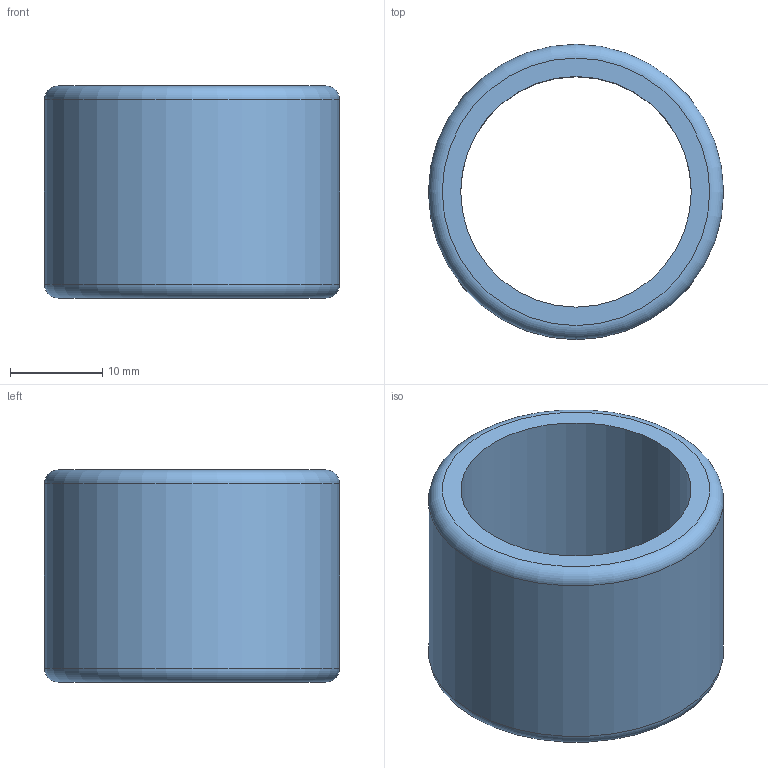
import cadquery as cq

outer_diameter = 32.0
bore_diameter = 25.0
height = 23.0
rim_radius = 1.5


def make_sleeve():
    """Solid cylinder with its two outer rims rounded."""
    cylinder = cq.Workplane("XY").circle(outer_diameter / 2).extrude(height)
    return cylinder.edges("%CIRCLE").fillet(rim_radius)


def cut_bore(body):
    """Straight through bore along the sleeve axis, with sharp ends."""
    return body.faces(">Z").workplane().circle(bore_diameter / 2).cutThruAll()


result = cut_bore(make_sleeve())